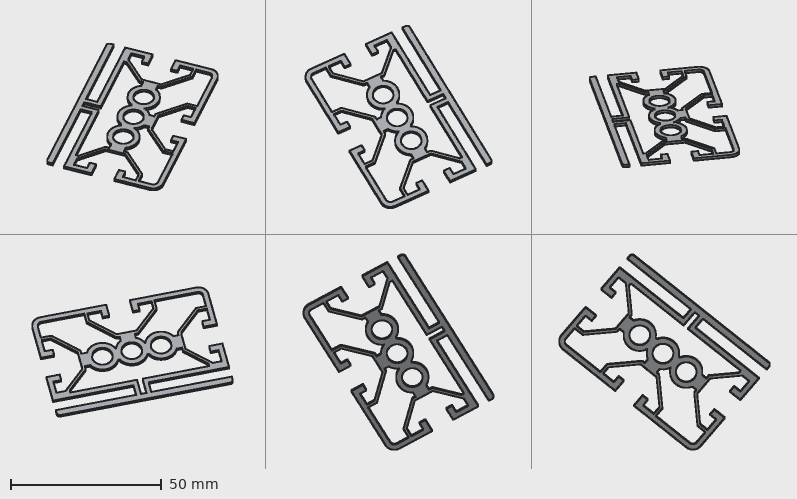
import cadquery as cq
import math

LENGTH = 60.0
WIDTH = 40.0
THICKNESS = 1.0
RIGHT = WIDTH / 2
TOP = LENGTH / 2

WALL = 1.85
CORNER_RADIUS = 3.5
LEFT_WALL_X = -13.75
LEFT_WALL_INNER_X = LEFT_WALL_X + WALL

MOUTH_HALF = 4.0
LIP_WIDTH = 2.3
LIP_DEPTH = 4.55
POCKET_HALF = 10.9
SIDE_POCKET_DEPTH = 2.05
GROOVE_DEPTH = 12.4
FLOOR_HALF = 3.4
WEB = 1.0
SIDE_FLOOR_WEB = 1.2
NECK_HALF = 2.6

TUBE_PITCH = LENGTH / 6
TUBE_RADIUS = 5.4
BORE_RADIUS = 3.4

STRIP_WIDTH = 2.3
STRIP_CORNER_RADIUS = 1.0
BRIDGE_HALF = 2.6
BRIDGE_GAP = 1.85


def box(x_min, x_max, y_min, y_max):
    """Rectangular plate between the given limits."""
    centre = ((x_min + x_max) / 2, (y_min + y_max) / 2, 0)
    return cq.Workplane("XY").box(x_max - x_min, y_max - y_min, THICKNESS).translate(centre)


def disc(radius, y):
    """Round plate centred on the tube row."""
    return cq.Workplane("XY").center(0, y).circle(radius).extrude(THICKNESS / 2, both=True)


def floor_half_width(growth, floor_growth):
    """Half width of a groove floor when its 45 degree flanks and its floor move outward."""
    return FLOOR_HALF + growth * math.sqrt(2) - floor_growth


def groove_block(face, growth, floor_growth):
    """Groove shape open towards +Y, with sides, flanks and floor moved outward as given."""
    half = POCKET_HALF + growth
    floor_half = floor_half_width(growth, floor_growth)
    floor_y = face - GROOVE_DEPTH - floor_growth
    bend_y = floor_y + half - floor_half
    outline = [
        (-half, face),
        (-half, bend_y),
        (-floor_half, floor_y),
        (floor_half, floor_y),
        (half, bend_y),
        (half, face),
    ]
    return cq.Workplane("XY").polyline(outline).close().extrude(THICKNESS / 2, both=True)


def groove_body(face, floor_web):
    """Web around one groove plus the neck that carries it on the tubes."""
    floor_y = face - GROOVE_DEPTH
    neck = box(-NECK_HALF, NECK_HALF, floor_y - TUBE_RADIUS, floor_y)
    return groove_block(face, WEB, floor_web).union(neck)


def groove_hollow(face, wall):
    """Space inside one groove: pocket behind the wall and mouth between the two lips."""
    lip_outer = MOUTH_HALF + LIP_WIDTH
    hollow = groove_block(face, 0, 0)
    for side in (-1, 1):
        ledge_start, ledge_end = sorted((side * MOUTH_HALF, side * POCKET_HALF))
        lip_start, lip_end = sorted((side * MOUTH_HALF, side * lip_outer))
        hollow = hollow.cut(box(ledge_start, ledge_end, face - wall, face))
        hollow = hollow.cut(box(lip_start, lip_end, face - LIP_DEPTH, face))
    return hollow


def face_right(shape):
    """Turn a groove shape so that it opens towards +X."""
    return shape.rotate((0, 0, 0), (0, 0, 1), -90)


def frame():
    """Outer wall loop with its two right corners rounded."""
    outside = box(LEFT_WALL_X, RIGHT, -TOP, TOP)
    outside = outside.edges("|Z and >X").fillet(CORNER_RADIUS)
    inside = box(LEFT_WALL_INNER_X, RIGHT - WALL, WALL - TOP, TOP - WALL)
    inside = inside.edges("|Z and >X").fillet(CORNER_RADIUS - WALL)
    return outside.cut(inside)


def corner_block():
    """Filling between the left wall and the top groove, ending where the slanted web starts."""
    bottom = TOP - GROOVE_DEPTH - WEB + POCKET_HALF - floor_half_width(WEB, WEB)
    return box(LEFT_WALL_X, -POCKET_HALF, bottom, TOP)


def strip():
    """Left strip, rounded on its outer corners, with the block that forms its bridges."""
    left = -RIGHT
    bar = box(left, left + STRIP_WIDTH, -TOP, TOP).edges("|Z and <X").fillet(STRIP_CORNER_RADIUS)
    bridge = box(left + STRIP_WIDTH, LEFT_WALL_INNER_X, -BRIDGE_HALF, BRIDGE_HALF)
    return bar.union(bridge)


top_body = groove_body(TOP, WEB).union(corner_block())
top_hollow = groove_hollow(TOP, WALL)
result = frame().union(top_body).union(top_body.mirror("XZ"))
result = result.union(face_right(groove_body(RIGHT, SIDE_FLOOR_WEB))).union(strip())

tube_centres = [-TUBE_PITCH, 0, TUBE_PITCH]
for y in tube_centres:
    result = result.union(disc(TUBE_RADIUS, y))
result = result.union(box(-NECK_HALF, 0, -TUBE_PITCH, TUBE_PITCH))

for y in tube_centres:
    result = result.cut(disc(BORE_RADIUS, y))
result = result.cut(top_hollow).cut(top_hollow.mirror("XZ"))
result = result.cut(face_right(groove_hollow(RIGHT, SIDE_POCKET_DEPTH)))
result = result.cut(box(STRIP_WIDTH - RIGHT, LEFT_WALL_INNER_X, -BRIDGE_GAP / 2, BRIDGE_GAP / 2))